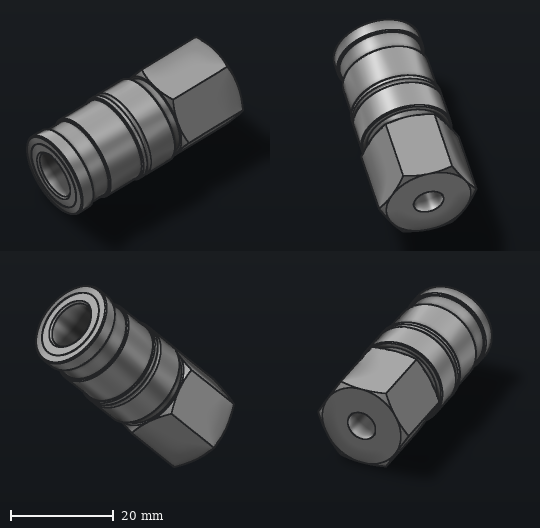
import cadquery as cq
import math

length = 40.0

hex_sides = 6
hex_across_flats = 17.0
hex_start = 25.0
hex_chamfer_angle = 30.0

lip_radius = 7.0
sleeve_radius = 8.7
grip_groove_radius = 8.25
collar_diameter = 18.2
collar_radius = collar_diameter / 2
ring_groove_radius = 8.75
neck_radius = 8.0

lip_height = 0.1
rim_end = 3.2
grip_groove_end = 7.1
sleeve_end = 14.9
ring_groove_start = 16.05
ring_groove_end = 17.0
collar_end = 23.1
edge_chamfer = 0.25

socket_radius = 5.2
socket_floor_radius = 4.8
socket_depth = 20.0
through_radius = 3.0


def revolve_about_y(points):
    """Revolve a closed (radius, station) outline about the Y axis."""
    return cq.Workplane("XY").polyline(points).close().revolve(360, (0, 0), (0, 1))


def make_sleeve():
    """Turned body from the mouth up to the hexagon, with its grooves and broken edges."""
    ring_groove_middle = (ring_groove_start + ring_groove_end) / 2
    below_ring_groove = [
        (0, 0),
        (lip_radius, 0),
        (lip_radius, lip_height),
        (sleeve_radius - edge_chamfer, lip_height),
        (sleeve_radius, lip_height + edge_chamfer),
        (sleeve_radius, rim_end - edge_chamfer),
        (sleeve_radius - edge_chamfer, rim_end),
        (grip_groove_radius, rim_end),
        (grip_groove_radius, grip_groove_end),
        (sleeve_radius - edge_chamfer, grip_groove_end),
        (sleeve_radius, grip_groove_end + edge_chamfer),
        (sleeve_radius, sleeve_end),
        (collar_radius - edge_chamfer, sleeve_end),
        (collar_radius, sleeve_end + edge_chamfer),
        (collar_radius, ring_groove_start),
    ]
    above_ring_groove = [
        (collar_radius, ring_groove_end),
        (collar_radius, collar_end - edge_chamfer),
        (collar_radius - edge_chamfer, collar_end),
        (neck_radius, collar_end),
        (neck_radius, hex_start),
        (0, hex_start),
    ]
    outline = (
        cq.Workplane("XY")
        .polyline(below_ring_groove)
        .threePointArc((ring_groove_radius, ring_groove_middle), above_ring_groove[0])
        .polyline(above_ring_groove[1:], includeCurrent=True)
        .close()
    )
    return outline.revolve(360, (0, 0), (0, 1))


def make_hexagon():
    """Hexagon with corners on X, its corners turned off conically at both ends."""
    flat_radius = hex_across_flats / 2
    corner_radius = flat_radius / math.cos(math.pi / hex_sides)
    chamfer_length = (corner_radius - flat_radius) * math.tan(math.radians(hex_chamfer_angle))
    prism = (
        cq.Workplane("XZ", origin=(0, length, 0))
        .polygon(hex_sides, 2 * corner_radius)
        .extrude(length - hex_start)
    )
    turned_blank = revolve_about_y([
        (0, hex_start),
        (flat_radius, hex_start),
        (corner_radius, hex_start + chamfer_length),
        (corner_radius, length - chamfer_length),
        (flat_radius, length),
        (0, length),
    ])
    return prism.intersect(turned_blank)


def make_bore():
    """Socket that narrows at its mouth, stepping down to the through hole."""
    mouth_chamfer = socket_radius - socket_floor_radius
    return revolve_about_y([
        (0, 0),
        (socket_radius, 0),
        (socket_floor_radius, mouth_chamfer),
        (socket_floor_radius, socket_depth),
        (through_radius, socket_depth),
        (through_radius, length),
        (0, length),
    ])


result = make_sleeve().union(make_hexagon()).cut(make_bore())